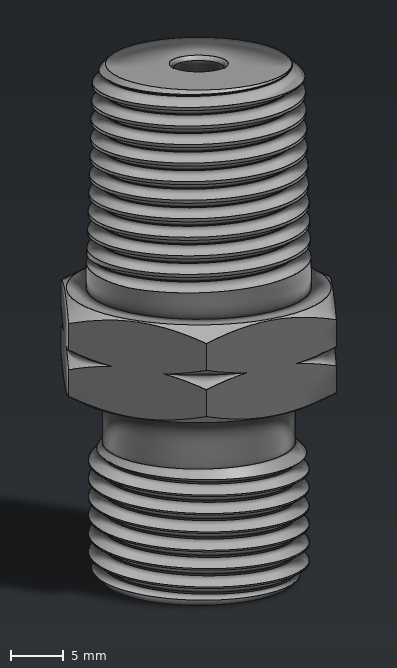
import cadquery as cq
import math


total_length = 50.8
hex_across_flats = 25.4
hex_across_corners = hex_across_flats / math.cos(math.pi / 6)
hex_bottom = 19.05
hex_height = 9.65
hex_top = hex_bottom + hex_height
hex_face_radius = 12.55
rim_clearance = 0.5
hex_bevel_slope = math.tan(math.radians(30))
hex_groove_radius = 13.0

pitch = hex_across_flats / 14
end_turns = 2
flank_slope = math.tan(math.radians(30))
spans_per_turn = 2
steps_per_span = 12

lower_thread_length = 13.45
lower_crest_radius = 10.45
lower_root_radius = 9.2
lower_crest_flat = 0.15
lower_groove_height = 2.0
neck_radius = 9.15
neck_fillet = 0.75

collar_radius = 10.65
collar_top = 30.9
thread_taper = 1 / 32
upper_thread_depth = 1.2
upper_crest_flat = 0.3
upper_groove_height = 31.35
runout_start = 0.2
runout_turns = 0.5
top_face_radius = 8.85

bore_radius = 2.4
bore_mouth_radius = 2.8


def revolve_profile(points):
    """Solid of revolution about Z from (radius, height) points."""
    return cq.Workplane("XZ").polyline(points).close().revolve(360, (0, 0, 0), (0, 1, 0))


def thread_groove(root_radius, depth, crest_flat, height_at_minus_x, first_turn, last_turn, hand):
    """Helical groove of trapezoidal section, used as a cutter.

    root_radius is a function of turn and height; hand is +1 for a right-hand
    thread and -1 for a left-hand one. Turns are counted from the -X side.
    """
    overcut = 0.5 * crest_flat
    outer_half = (pitch - crest_flat) / 2 + overcut * flank_slope
    root_half = outer_half - (depth + overcut) * flank_slope
    section = [
        (depth + overcut, -outer_half),
        (0, -root_half),
        (0, root_half),
        (depth + overcut, outer_half),
    ]
    span_count = round((last_turn - first_turn) * spans_per_turn)

    def corner_curve(radial, axial, span):
        points = []
        for step in range(steps_per_span + 1):
            turn = first_turn + (span + step / steps_per_span) / spans_per_turn
            angle = math.pi + hand * 2 * math.pi * turn
            height = height_at_minus_x + pitch * turn
            radius = root_radius(turn, height) + radial
            points.append(cq.Vector(radius * math.cos(angle), radius * math.sin(angle), height + axial))
        return cq.Edge.makeSpline(points)

    def end_face(curves, position):
        corners = [curve.positionAt(position) for curve in curves]
        return cq.Face.makeFromWires(cq.Wire.makePolygon(corners, close=True))

    spans = []
    for span in range(span_count):
        spans.append([corner_curve(radial, axial, span) for radial, axial in section])
    faces = [end_face(spans[0], 0), end_face(spans[-1], 1)]
    for curves in spans:
        for index, curve in enumerate(curves):
            faces.append(cq.Face.makeRuledSurface(curve, curves[(index + 1) % len(curves)]))
    return cq.Workplane(obj=cq.Solid.makeSolid(cq.Shell.makeShell(faces)))


def lower_thread():
    chamfer = lower_crest_radius - neck_radius
    blank = revolve_profile([
        (0, 0),
        (neck_radius, 0),
        (lower_crest_radius, chamfer),
        (lower_crest_radius, lower_thread_length - chamfer),
        (neck_radius, lower_thread_length),
        (0, lower_thread_length),
    ])
    groove = thread_groove(
        root_radius=lambda turn, height: lower_root_radius,
        depth=lower_crest_radius - lower_root_radius,
        crest_flat=lower_crest_flat,
        height_at_minus_x=lower_groove_height,
        first_turn=-end_turns,
        last_turn=math.ceil(lower_thread_length / pitch),
        hand=-1,
    )
    return blank.cut(groove)


def upper_crest_radius(height):
    return collar_radius - thread_taper * (height - collar_top)


def upper_root_radius(turn, height):
    """Groove bottom, rising smoothly out to the crest cone where the thread runs out."""
    progress = min(1, (turn + runout_start) / runout_turns)
    return upper_crest_radius(height) - upper_thread_depth * progress**2


def upper_thread():
    """Collar and tapered thread, with a 45 degree chamfer at the tip."""
    chamfer = upper_crest_radius(total_length) - top_face_radius
    chamfer_start = total_length - chamfer
    blank = revolve_profile([
        (0, hex_top),
        (collar_radius, hex_top),
        (collar_radius, collar_top),
        (upper_crest_radius(chamfer_start), chamfer_start),
        (top_face_radius, total_length),
        (0, total_length),
    ])
    groove = thread_groove(
        root_radius=upper_root_radius,
        depth=upper_thread_depth,
        crest_flat=upper_crest_flat,
        height_at_minus_x=upper_groove_height,
        first_turn=-runout_start,
        last_turn=math.ceil((total_length - upper_groove_height) / pitch) + end_turns,
        hand=1,
    )
    return blank.cut(groove)


def hexagon():
    """Hexagon with corners on Y, bevelled at both ends and grooved at mid height."""
    prism = (
        cq.Workplane("XY", origin=(0, 0, hex_bottom))
        .polygon(6, hex_across_corners)
        .extrude(hex_height)
        .rotate((0, 0, 0), (0, 0, 1), 30)
    )
    rim_radius = hex_across_corners / 2 + rim_clearance
    bevel = (rim_radius - hex_face_radius) * hex_bevel_slope
    groove_half = (rim_radius - hex_groove_radius) * hex_bevel_slope
    middle = hex_bottom + hex_height / 2
    envelope = revolve_profile([
        (0, hex_bottom),
        (hex_face_radius, hex_bottom),
        (rim_radius, hex_bottom + bevel),
        (rim_radius, middle - groove_half),
        (hex_groove_radius, middle),
        (rim_radius, middle + groove_half),
        (rim_radius, hex_top - bevel),
        (hex_face_radius, hex_top),
        (0, hex_top),
    ])
    return prism.intersect(envelope)


def neck():
    """Plain neck that flares into the hexagon with a concave fillet."""
    fillet_start = hex_bottom - neck_fillet
    fillet_mid_offset = neck_fillet * (1 - math.sqrt(0.5))
    return (
        cq.Workplane("XZ")
        .moveTo(0, lower_thread_length)
        .lineTo(neck_radius, lower_thread_length)
        .lineTo(neck_radius, fillet_start)
        .threePointArc(
            (neck_radius + fillet_mid_offset, hex_bottom - fillet_mid_offset),
            (neck_radius + neck_fillet, hex_bottom),
        )
        .lineTo(0, hex_bottom)
        .close()
        .revolve(360, (0, 0, 0), (0, 1, 0))
    )


def bore():
    """Through bore with a 45 degree chamfer at the upper mouth."""
    return revolve_profile([
        (0, 0),
        (bore_radius, 0),
        (bore_radius, total_length - (bore_mouth_radius - bore_radius)),
        (bore_mouth_radius, total_length),
        (0, total_length),
    ])


result = lower_thread().union(neck()).union(hexagon()).union(upper_thread()).cut(bore())